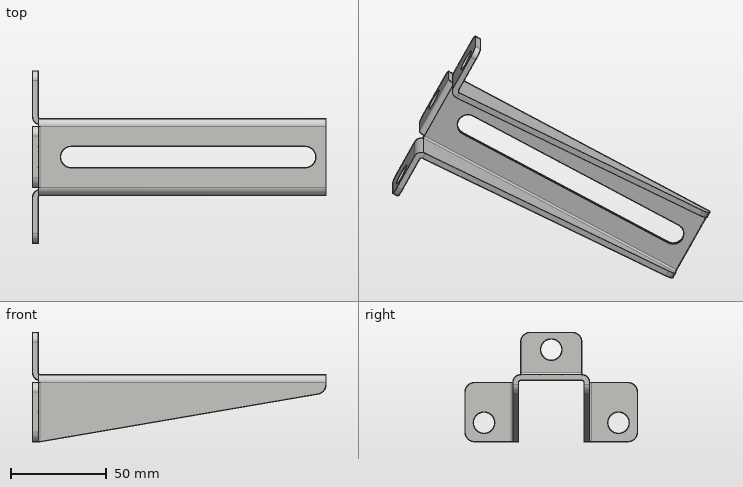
import cadquery as cq
import math

length = 153.0
overall_width = 90.0
overall_height = 57.0

sheet = 3.0
inner_radius = 1.0
outer_radius = inner_radius + sheet
channel_width = 40.1
tab_rise = 22.0
wall_depth = overall_height - tab_rise
wall_end_depth = 9.5
corner_radius = 5.0
tab_width = channel_width - 2 * outer_radius

hole_diameter = 11.0
top_hole_edge = 9.0
side_hole_edge = 10.0
side_hole_y = 35.0
slot_length = 133.0
slot_width = hole_diameter
slot_end_margin = 5.4


def draw_bent_tab(plane, rise):
    """Closed tab profile: upright leg at X = 0 to sheet, bent into the sheet below the X axis."""
    diagonal = math.sqrt(0.5)
    inner_offset = inner_radius * diagonal
    outer_offset = outer_radius * diagonal
    return (
        plane.moveTo(0, rise)
        .lineTo(sheet, rise)
        .lineTo(sheet, inner_radius)
        .threePointArc((outer_radius - inner_offset, inner_radius - inner_offset), (outer_radius, 0))
        .lineTo(outer_radius, -sheet)
        .threePointArc((outer_radius - outer_offset, inner_radius - outer_offset), (0, inner_radius))
        .close()
    )


def make_channel():
    """U channel, open downward, with tapered side walls."""
    channel_length = length - sheet
    outer = (
        cq.Workplane("XY")
        .box(channel_length, channel_width, wall_depth, centered=(False, True, False))
        .translate((sheet, 0, -wall_depth))
        .edges("|X and >Z")
        .fillet(outer_radius)
    )
    inner = (
        cq.Workplane("XY")
        .box(channel_length, channel_width - 2 * sheet, wall_depth, centered=(False, True, False))
        .translate((sheet, 0, -wall_depth - sheet))
        .edges("|X and >Z")
        .fillet(inner_radius)
    )
    side_outline = (
        cq.Workplane("XZ")
        .polyline([
            (sheet, 0),
            (length, 0),
            (length, -wall_end_depth),
            (outer_radius, -wall_depth),
            (sheet, -wall_depth),
        ])
        .close()
        .extrude(channel_width / 2, both=True)
        .edges(cq.selectors.NearestToPointSelector((length, 0, -wall_end_depth)))
        .fillet(corner_radius)
    )
    return outer.cut(inner).intersect(side_outline)


def make_top_tab():
    """Upright tab bent up from the web, with two rounded corners and a hole."""
    tab = draw_bent_tab(cq.Workplane("XZ"), tab_rise)
    tab = tab.extrude(tab_width / 2, both=True)
    tab = tab.edges("|X and >Z").fillet(corner_radius)
    hole = (
        cq.Workplane("YZ")
        .center(0, tab_rise - top_hole_edge)
        .circle(hole_diameter / 2)
        .extrude(sheet)
    )
    return tab.cut(hole)


def make_side_tab():
    """Tab bent outward from the +Y wall, with two rounded corners and a hole."""
    tab_reach = (overall_width - channel_width) / 2
    tab = draw_bent_tab(cq.Workplane("XY"), tab_reach)
    tab = tab.extrude(wall_depth - outer_radius)
    tab = tab.translate((0, channel_width / 2, -wall_depth))
    tab = tab.edges("|X and >Y").fillet(corner_radius)
    hole = (
        cq.Workplane("YZ")
        .center(side_hole_y, side_hole_edge - wall_depth)
        .circle(hole_diameter / 2)
        .extrude(sheet)
    )
    return tab.cut(hole)


def make_slot():
    """Long adjustment slot through the web."""
    return (
        cq.Workplane("XY")
        .center(length - slot_end_margin - slot_length / 2, 0)
        .slot2D(slot_length, slot_width)
        .extrude(-sheet)
    )


side_tab = make_side_tab()
result = (
    make_channel()
    .union(make_top_tab())
    .union(side_tab)
    .union(side_tab.mirror("XZ"))
    .cut(make_slot())
)